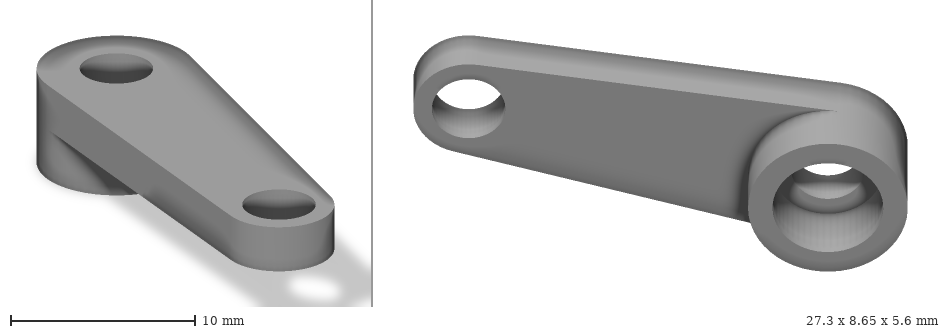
import cadquery as cq
import math

length = 27.32
height = 5.6
arm_thickness = 2.62
boss_diameter = 8.65
tip_diameter = 6.0
hole_diameter = 4.0
socket_diameter = 6.0
socket_roof = 2.13

boss_radius = boss_diameter / 2
tip_radius = tip_diameter / 2
hole_spacing = length - boss_radius - tip_radius
arm_bottom = height - arm_thickness

tangent_angle = math.acos((boss_radius - tip_radius) / hole_spacing)


def tangent_point(center_x, radius, side):
    """Point where an arm side (+1 or -1 in Y) meets a round end."""
    return (
        center_x + radius * math.cos(tangent_angle),
        side * radius * math.sin(tangent_angle),
    )


def make_arm():
    """Tapered arm with a full round at each end."""
    return (
        cq.Workplane("XY", origin=(0, 0, arm_bottom))
        .moveTo(*tangent_point(0, boss_radius, -1))
        .lineTo(*tangent_point(hole_spacing, tip_radius, -1))
        .threePointArc((hole_spacing + tip_radius, 0), tangent_point(hole_spacing, tip_radius, 1))
        .lineTo(*tangent_point(0, boss_radius, 1))
        .threePointArc((-boss_radius, 0), tangent_point(0, boss_radius, -1))
        .close()
        .extrude(arm_thickness)
    )


def make_boss():
    """Round boss under the wide end, flush with the top of the arm."""
    return cq.Workplane("XY").circle(boss_radius).extrude(height)


def make_holes():
    """Cutters for the through holes at both ends."""
    return (
        cq.Workplane("XY")
        .pushPoints([(0, 0), (hole_spacing, 0)])
        .circle(hole_diameter / 2)
        .extrude(height)
    )


def make_socket():
    """Cutter for the wider bore that enters the boss from below."""
    return cq.Workplane("XY").circle(socket_diameter / 2).extrude(height - socket_roof)


result = make_arm().union(make_boss()).cut(make_holes()).cut(make_socket())